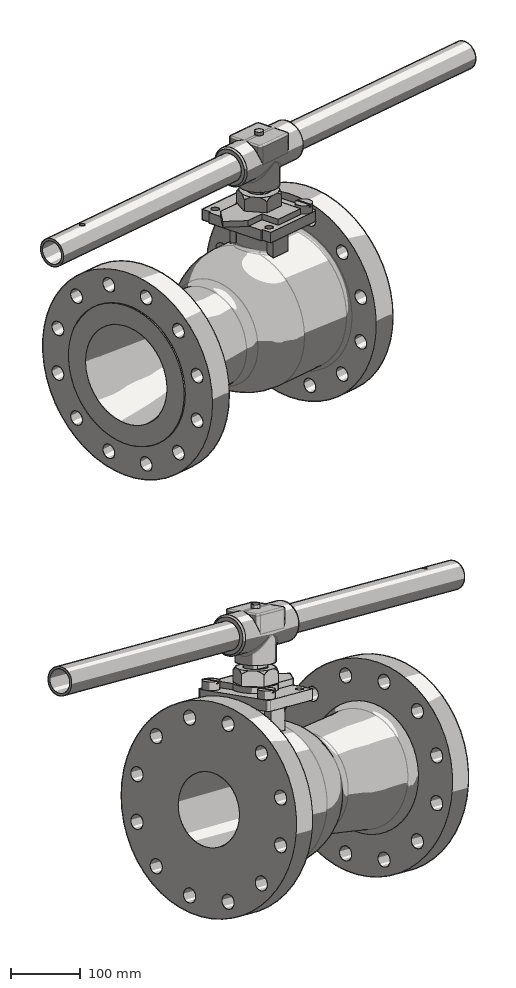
import cadquery as cq
import math


overall_height = 441.5

flange_diameter = 318.0
flange_thickness = 38.0
rear_face_y = 109.0
front_face_y = -292.0
raised_face_height = 3.0
raised_face_diameter = 216.0
bolt_circle_radius = 135.0
bolt_hole_diameter = 22.0
bolt_count = 12

barrel_radius = raised_face_diameter / 2
barrel_root_fillet = 5.5
barrel_front_y = -27.5
sphere_length = 71.0
neck_start_y = -118.0
neck_start_radius = 76.0
neck_end_y = -242.0
neck_end_radius = 88.0
neck_root_radius = 97.0
bore_radius = 111.0 / 2
bore_mouth_radius = 76.0

bonnet_diameter = 66.0
bonnet_root_fillet = 5.0
root_overlap = 18.0
bonnet_fillet_limit_z = 133.0
rib_length = 81.0
rib_width = 33.0
pad_bottom_z = 142.0
pad_top_z = 158.5
pad_width = 128.0
pad_rear_y = 52.0
pad_front_y = -50.0
pad_nose_width = 97.0
pad_nose_length = 3.0
pad_corner_radius = 5.0
pad_hole_x = 50.0
pad_front_hole_y = -38.0
pad_hole_diameter = 12.0

stop_thickness = 9.0
stop_hub_radius = 33.0
stop_arm_length = 56.0
stop_arm_rear_y = 26.0
stop_arm_front_y = -24.0
pointer_half_width = 26.0
pointer_tip_y = -81.0
nut_flats = 57.0
nut_top_z = 190.5
nut_chamfer_height = 5.5
nut_chamfer_inset = 4.0
stem_diameter = 36.0
stem_flats = 26.0
stem_bottom_z = 110.0
stem_top_z = 217.0

screw_head_diameter = 26.0
screw_head_height = 13.0
screw_slot_width = 3.0
screw_slot_depth = 4.0
screw_y = 39.0

handle_length = 916.0
handle_diameter = 43.0
handle_bore = 36.0
clamp_top_above_handle = 36.0
handle_middle_y = -2.0
handle_hole_diameter = 8.0
handle_hole_from_end = 67.0
tee_diameter = 60.0
tee_length = 130.0
tee_end_chamfer = 3.0
tee_bottom_z = 199.0
tee_branch_diameter = 59.5
tee_branch_fillet = 5.5
tee_fillet_start_z = 208.0
block_width = tee_diameter
block_length = 66.0
block_end_fillet = 5.5
block_top_fillet = 3.0
block_drop = 0.1
clamp_bolt_diameter = 9.0
clamp_head_diameter = 13.0
clamp_bottom_z = 208.0

flange_radius = flange_diameter / 2
stop_top_z = pad_top_z + stop_thickness
clamp_top_z = overall_height - flange_radius
handle_z = clamp_top_z - clamp_top_above_handle
tee_crest_z = handle_z + tee_diameter / 2


def upright_cylinder(diameter, bottom_z, top_z):
    return cq.Workplane("XY").workplane(offset=bottom_z).circle(diameter / 2).extrude(top_z - bottom_z)


def cylinder_along_y(diameter, length, middle_y, z):
    plane = cq.Workplane("XZ", origin=(0, middle_y, z))
    return plane.circle(diameter / 2).extrude(length / 2, both=True)


def make_stem():
    """Round stem whose upper end has two flats that drive the tee."""
    stem = upright_cylinder(stem_diameter, stem_bottom_z, stem_top_z)
    tang_height = stem_top_z - nut_top_z
    tang_envelope = (
        cq.Workplane("XY").workplane(offset=nut_top_z).rect(stem_flats, stem_diameter).extrude(tang_height)
    )
    return upright_cylinder(stem_diameter, stem_bottom_z, nut_top_z).union(stem.intersect(tang_envelope))


def make_clamp_bolt():
    """Bolt through tee and handle, ending in the stem."""
    shank = upright_cylinder(clamp_bolt_diameter, clamp_bottom_z, tee_crest_z)
    return shank.union(upright_cylinder(clamp_head_diameter, tee_crest_z, clamp_top_z))


def make_body_shell():
    """Flanged barrel, spherical shoulder and tapered neck, revolved about the flow axis."""
    rear_flange_y = rear_face_y - flange_thickness
    front_flange_y = front_face_y + flange_thickness
    sphere_end_y = barrel_front_y - sphere_length
    sphere_end_radius = math.sqrt(barrel_radius**2 - sphere_length**2)
    half_turn = math.asin(sphere_length / barrel_radius) / 2
    sphere_middle = (barrel_radius * math.cos(half_turn), barrel_front_y - barrel_radius * math.sin(half_turn))
    raised_face_y = front_face_y - raised_face_height
    return (
        cq.Workplane("XY")
        .moveTo(bore_radius, rear_face_y)
        .lineTo(flange_radius, rear_face_y)
        .lineTo(flange_radius, rear_flange_y)
        .lineTo(barrel_radius + barrel_root_fillet, rear_flange_y)
        .radiusArc((barrel_radius, rear_flange_y - barrel_root_fillet), -barrel_root_fillet)
        .lineTo(barrel_radius, barrel_front_y)
        .threePointArc(sphere_middle, (sphere_end_radius, sphere_end_y))
        .tangentArcPoint((neck_start_radius, neck_start_y), relative=False)
        .lineTo(neck_end_radius, neck_end_y)
        .tangentArcPoint((neck_root_radius, front_flange_y), relative=False)
        .lineTo(flange_radius, front_flange_y)
        .lineTo(flange_radius, front_face_y)
        .lineTo(raised_face_diameter / 2, front_face_y)
        .lineTo(raised_face_diameter / 2, raised_face_y)
        .lineTo(bore_mouth_radius, raised_face_y)
        .lineTo(bore_radius, neck_start_y)
        .close()
        .revolve(360, (0, 0, 0), (0, 1, 0))
    )


def make_bolt_holes(flange_rear_y):
    """Ring of holes through one flange, straddling the vertical centre line."""
    half_step = 180 / bolt_count
    return (
        cq.Workplane("XZ", origin=(0, flange_rear_y, 0))
        .polarArray(bolt_circle_radius, half_step, 360, bolt_count)
        .circle(bolt_hole_diameter / 2)
        .extrude(flange_thickness)
    )


def make_pad():
    """Flat plate on the bonnet, rounded at the rear and stepped at the front."""
    thickness = pad_top_z - pad_bottom_z
    base = cq.Workplane("XY").workplane(offset=pad_bottom_z)
    pad = base.center(0, (pad_rear_y + pad_front_y) / 2).rect(pad_width, pad_rear_y - pad_front_y)
    pad = pad.extrude(thickness).edges("|Z and >Y").fillet(pad_corner_radius)
    nose = base.center(0, pad_front_y).rect(pad_nose_width, 2 * pad_nose_length).extrude(thickness)
    return pad.union(nose)


def make_valve_body():
    bonnet_root_z = barrel_radius - root_overlap
    bonnet = upright_cylinder(bonnet_diameter, bonnet_root_z, pad_bottom_z)
    ribs = (
        cq.Workplane("XY").workplane(offset=bonnet_root_z)
        .rect(rib_length, rib_width)
        .extrude(pad_bottom_z - bonnet_root_z)
    )
    body = make_body_shell().union(bonnet)
    reach = bonnet_diameter
    joint_zone = cq.selectors.BoxSelector((-reach, -reach, bonnet_root_z), (reach, reach, bonnet_fillet_limit_z))
    body = body.edges(joint_zone).fillet(bonnet_root_fillet)
    body = body.union(ribs).union(make_pad())
    pad_holes = (
        cq.Workplane("XY").workplane(offset=pad_bottom_z)
        .pushPoints([(side * pad_hole_x, y) for side in (-1, 1) for y in (screw_y, pad_front_hole_y)])
        .circle(pad_hole_diameter / 2)
        .extrude(pad_top_z - pad_bottom_z)
    )
    for flange_rear_y in (rear_face_y, front_face_y + flange_thickness):
        body = body.cut(make_bolt_holes(flange_rear_y))
    return body.cut(pad_holes).cut(make_stem())


def make_stop_plate():
    """Hub with a square arm toward +X and a pointer toward -Y."""
    base = cq.Workplane("XY").workplane(offset=pad_top_z)
    hub = base.circle(stop_hub_radius).extrude(stop_thickness)
    arm = (
        base.moveTo(0, stop_arm_front_y)
        .lineTo(stop_arm_length, stop_arm_front_y)
        .lineTo(stop_arm_length, stop_arm_rear_y)
        .lineTo(0, stop_arm_rear_y)
        .close()
        .extrude(stop_thickness)
    )
    pointer_shoulder_y = pointer_tip_y + pointer_half_width
    pointer = (
        base.moveTo(-pointer_half_width, 0)
        .lineTo(-pointer_half_width, pointer_shoulder_y)
        .lineTo(0, pointer_tip_y)
        .lineTo(pointer_half_width, pointer_shoulder_y)
        .lineTo(pointer_half_width, 0)
        .close()
        .extrude(stop_thickness)
    )
    return hub.union(arm).union(pointer).cut(make_stem())


def make_nut():
    """Hexagon nut with two flats facing +X and -X."""
    corner_diameter = nut_flats / math.cos(math.pi / 6)
    height = nut_top_z - stop_top_z
    hexagon = cq.Workplane("XY").workplane(offset=stop_top_z).polygon(6, corner_diameter).extrude(height)
    hexagon = hexagon.rotate((0, 0, 0), (0, 0, 1), 30)
    envelope = upright_cylinder(corner_diameter, stop_top_z, nut_top_z)
    envelope = envelope.faces(">Z").chamfer(nut_chamfer_height, nut_chamfer_inset)
    return hexagon.intersect(envelope).cut(make_stem())


def make_stop_screw(x):
    """Slotted screw seated on the pad."""
    head_top_z = pad_top_z + screw_head_height
    head = upright_cylinder(screw_head_diameter, pad_top_z, head_top_z)
    slot = cq.Workplane("XY").box(screw_head_diameter, screw_slot_width, 2 * screw_slot_depth)
    shank = upright_cylinder(pad_hole_diameter, pad_bottom_z, pad_top_z)
    screw = head.cut(slot.translate((0, 0, head_top_z))).union(shank)
    return screw.translate((x, screw_y, 0))


def make_handle():
    """Long tube with a small cross hole near its front end."""
    tube = cylinder_along_y(handle_diameter, handle_length, handle_middle_y, handle_z)
    tube = tube.cut(cylinder_along_y(handle_bore, handle_length, handle_middle_y, handle_z))
    hole_y = handle_middle_y - handle_length / 2 + handle_hole_from_end
    end_hole = upright_cylinder(handle_hole_diameter, handle_z - handle_diameter, handle_z + handle_diameter)
    return tube.cut(end_hole.translate((0, hole_y, 0))).cut(make_clamp_bolt())


def make_tee():
    """Tee whose run holds the handle and whose branch drops onto the stem, with a clamp block on top."""
    run = cylinder_along_y(tee_diameter, tee_length, 0, handle_z)
    branch = upright_cylinder(tee_branch_diameter, tee_bottom_z, handle_z)
    tee = run.union(branch)
    reach = tee_diameter
    joint_zone = cq.selectors.BoxSelector((-reach, -reach, tee_fillet_start_z), (reach, reach, handle_z))
    tee = tee.edges(joint_zone).fillet(tee_branch_fillet)
    tee = tee.faces("<Y or >Y").edges().chamfer(tee_end_chamfer)
    block_top_z = tee_crest_z - block_drop
    block = cq.Workplane("XY").workplane(offset=handle_z).rect(block_width, block_length)
    block = block.extrude(block_top_z - handle_z).edges("|Z").fillet(block_end_fillet)
    block = block.faces(">Z").edges().fillet(block_top_fillet)
    tee = tee.union(block)
    tee = tee.cut(cylinder_along_y(handle_diameter, tee_length, 0, handle_z))
    return tee.cut(make_stem()).cut(make_clamp_bolt())


valve_body = make_valve_body()
stem = make_stem().cut(make_clamp_bolt())
stop_plate = make_stop_plate()
nut = make_nut()
stop_screws = [make_stop_screw(side * pad_hole_x) for side in (-1, 1)]
handle = make_handle()
tee = make_tee()
clamp_bolt = make_clamp_bolt()

result = cq.Compound.makeCompound(
    [
        valve_body.val(),
        stem.val(),
        stop_plate.val(),
        nut.val(),
        *[screw.val() for screw in stop_screws],
        handle.val(),
        tee.val(),
        clamp_bolt.val(),
    ]
)